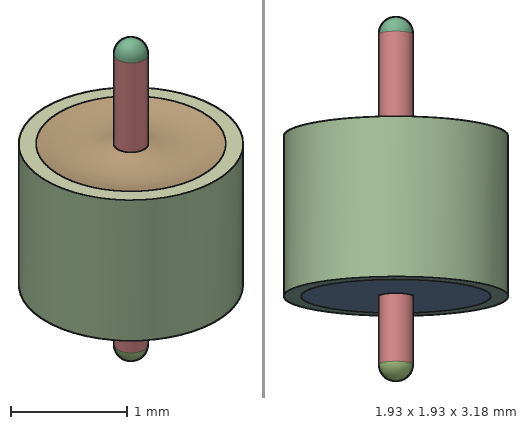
import cadquery as cq

sleeve_diameter = 1.93
sleeve_wall = 0.15
sleeve_height = 1.4
pin_diameter = 0.3
pin_length = 3.18
pin_below_sleeve = 0.74
meniscus_depth = 0.05

bore_radius = sleeve_diameter / 2 - sleeve_wall
pin_radius = pin_diameter / 2


def make_sleeve():
    """Metal ring around the glass seal."""
    return cq.Workplane("XY").circle(sleeve_diameter / 2).circle(bore_radius).extrude(sleeve_height)


def make_glass():
    """Glass seal filling the bore around the pin, with a ring-shaped dip in its top."""
    middle_radius = (pin_radius + bore_radius) / 2
    return (
        cq.Workplane("XZ")
        .moveTo(pin_radius, 0)
        .lineTo(bore_radius, 0)
        .lineTo(bore_radius, sleeve_height)
        .threePointArc((middle_radius, sleeve_height - meniscus_depth), (pin_radius, sleeve_height))
        .close()
        .revolve(360, (0, 0, 0), (0, 1, 0))
    )


def make_pin():
    """Straight round pin with hemispherical ends."""
    bottom = -pin_below_sleeve
    top = bottom + pin_length
    return (
        cq.Workplane("XZ")
        .moveTo(0, bottom)
        .radiusArc((pin_radius, bottom + pin_radius), -pin_radius)
        .lineTo(pin_radius, top - pin_radius)
        .radiusArc((0, top), -pin_radius)
        .close()
        .revolve(360, (0, 0, 0), (0, 1, 0))
    )


sleeve = make_sleeve()
glass = make_glass()
pin = make_pin()

result = cq.Compound.makeCompound([sleeve.val(), glass.val(), pin.val()])